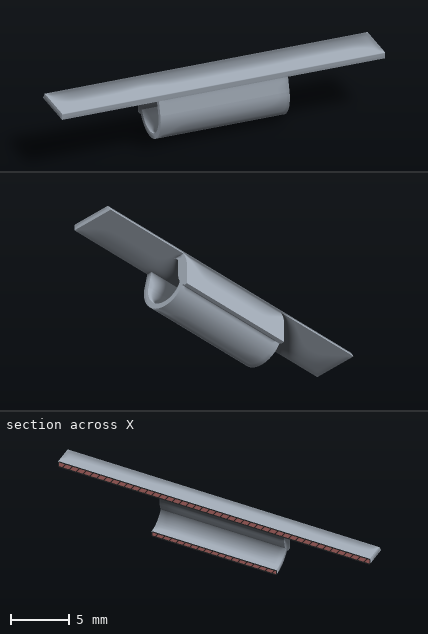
import math

import cadquery as cq


part_width = 5.19
part_height = 5.0
plate_length = 30.0
clip_length = 12.0

ring_radius = 2.5
ring_wall = 0.5
bore_radius = ring_radius - ring_wall
lean_angle = math.radians(14.5)

plate_thickness = 0.59
plate_top = part_height - ring_radius
plate_bottom = plate_top - plate_thickness
edge_fillet = 0.1

wall_left = ring_radius - part_width
wall_thickness = 1.08
wall_right = wall_left + wall_thickness
shoulder_start = 0.4
shoulder_end = 1.88
edge_lean = math.radians(30)
shoulder_radius = (shoulder_end - shoulder_start) / math.sin(edge_lean)
corner_radius = 0.5
relief_start = 0.1
relief_end = -0.82
relief_end_x = -math.sqrt(bore_radius**2 - relief_end**2)
relief_drop = relief_start - relief_end
relief_depth = wall_right - relief_end_x
relief_radius = (relief_drop**2 + relief_depth**2) / (2 * relief_depth)

foot_width = 0.38
foot_bottom = -1.45
notch_top = -1.34


def circle_x(radius, z):
    """Distance from a circle's vertical axis to the circle at height z above its centre."""
    return math.sqrt(radius**2 - z**2)


def shoulder_x(z):
    """X of the rounded shoulder at height z."""
    return wall_left + shoulder_radius - circle_x(shoulder_radius, z - shoulder_start)


def edge_x(z):
    """X of the sloping plate edge at height z."""
    return shoulder_x(shoulder_end) + (z - shoulder_end) * math.tan(edge_lean)


def relief_x(z):
    """X of the curved lower part of the wall's inner face at height z."""
    return wall_right - relief_radius + circle_x(relief_radius, z - relief_start)


def lean_point(radius):
    """Point where the leaning wall is tangent to a circle about the ring centre."""
    return radius * math.cos(lean_angle), radius * math.sin(lean_angle)


def lean_x(radius, z):
    """X at height z on the leaning line tangent to a circle about the ring centre."""
    return (radius - z * math.sin(lean_angle)) / math.cos(lean_angle)


def extrude_along_y(outline, length):
    """Extrude a closed XZ outline by length, centred on Y = 0."""
    return outline.extrude(length / 2, both=True)


plate_right = lean_x(ring_radius, plate_bottom)


def make_plate():
    outline = (
        cq.Workplane("XZ")
        .moveTo(plate_right, plate_bottom)
        .lineTo(plate_right, plate_top)
        .lineTo(edge_x(plate_top), plate_top)
        .lineTo(edge_x(plate_bottom), plate_bottom)
        .close()
    )
    plate = extrude_along_y(outline, plate_length)
    return plate.faces(">Z").edges("|Y").fillet(edge_fillet)


def make_clip():
    shoulder_middle = (shoulder_start + shoulder_end) / 2
    relief_middle = (relief_start + relief_end) / 2
    corner_offset = corner_radius * (1 - math.sqrt(0.5))
    outline = (
        cq.Workplane("XZ")
        .moveTo(edge_x(plate_bottom), plate_bottom)
        .lineTo(shoulder_x(shoulder_end), shoulder_end)
        .threePointArc((shoulder_x(shoulder_middle), shoulder_middle), (wall_left, shoulder_start))
        .lineTo(wall_left, foot_bottom)
        .lineTo(wall_left + foot_width, foot_bottom)
        .lineTo(wall_left + foot_width, notch_top)
        .lineTo(-circle_x(ring_radius, notch_top), notch_top)
        .threePointArc((0, -ring_radius), lean_point(ring_radius))
        .lineTo(plate_right, plate_bottom)
        .lineTo(lean_x(bore_radius, plate_bottom), plate_bottom)
        .lineTo(*lean_point(bore_radius))
        .threePointArc((0, -bore_radius), (relief_end_x, relief_end))
        .threePointArc((relief_x(relief_middle), relief_middle), (wall_right, relief_start))
        .lineTo(wall_right, plate_bottom - corner_radius)
        .threePointArc(
            (wall_right + corner_offset, plate_bottom - corner_offset),
            (wall_right + corner_radius, plate_bottom),
        )
        .close()
    )
    return extrude_along_y(outline, clip_length)


result = make_plate().union(make_clip())